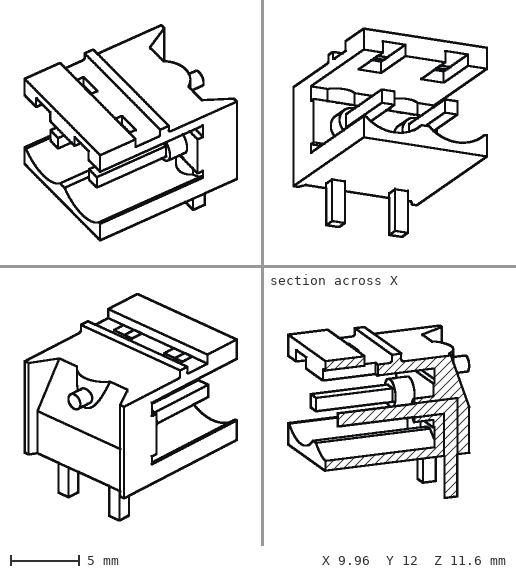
import cadquery as cq


WIDTH = 9.96
DEPTH = 12.0
FLOOR_TOP = 1.65
ROOF_BOTTOM = 6.78
ROOF_TOP = 7.65
LIP_TOP = 8.41
LIP_DEPTH = 3.12
WALL_FRONT = 8.55

RIB_FRONT = 5.27
RIB_WIDTH = 0.75
RIB_TOP = 8.27
RIB_FILLET = 0.19

POLE_PITCH = 5.09
PIN_SIZE = 1.03
PIN_TIP = 0.98
PIN_AXIS_Z = 3.78
TAIL_AXIS_Y = 9.95
TAIL_LENGTH = 3.22

COLLAR_DIAMETER = 2.11
COLLAR_LENGTH = 1.5

SCOOP_RADIUS = 3.26
SCOOP_DEPTH = 0.9

RECESS_DEPTH = 0.48
UPPER_RECESS_BOTTOM = 5.66
LOWER_RECESS_TOP = 2.3
COLUMN_RADIUS = 1.45

CHANNEL_WIDTH = 1.82
CHANNEL_LENGTH = 4.15
CHANNEL_PITCH = 5.05

NOTCH_FLOOR_Y = 9.96
NOTCH_FOOT_Y = 11.41
NOTCH_RAMP_DROP = 4.13
NOTCH_FLOOR_WIDTH = 6.85
NOTCH_MOUTH_WIDTH = 9.17
BULGE_RADIUS = 2.0
BULGE_BACK = 10.82
POST_DIAMETER = 1.2
POST_AXIS_Z = 6.18

pole_positions = [-POLE_PITCH / 2, POLE_PITCH / 2]
channel_positions = [-CHANNEL_PITCH / 2, CHANNEL_PITCH / 2]
recess_back = WALL_FRONT + RECESS_DEPTH
column_axis_y = WALL_FRONT + COLUMN_RADIUS


def box(x_range, y_range, z_range):
    """Box between the given limits."""
    size = [high - low for low, high in (x_range, y_range, z_range)]
    corner = (x_range[0], y_range[0], z_range[0])
    return cq.Workplane("XY").box(*size, centered=False).translate(corner)


def upright_cylinder(x, y, radius, z_range):
    """Cylinder along Z between two heights."""
    base = cq.Workplane("XY").workplane(offset=z_range[0]).center(x, y)
    return base.circle(radius).extrude(z_range[1] - z_range[0])


def cylinder_along_y(x, z, radius, y_range):
    """Cylinder along Y between two depths."""
    base = cq.Workplane("XZ", origin=(x, y_range[0], z))
    return base.circle(radius).extrude(y_range[0] - y_range[1])


def across_width(y_range, z_range):
    """Box over the full width of the housing."""
    return box((-WIDTH / 2, WIDTH / 2), y_range, z_range)


def shell():
    """C-shaped side outline, with lip and rib, extruded over the width."""
    rib_back = RIB_FRONT + RIB_WIDTH
    fillet_top = ROOF_TOP + RIB_FILLET
    return (
        cq.Workplane("YZ")
        .workplane(offset=-WIDTH / 2)
        .moveTo(0, 0)
        .lineTo(DEPTH, 0)
        .lineTo(DEPTH, ROOF_TOP)
        .lineTo(rib_back + RIB_FILLET, ROOF_TOP)
        .radiusArc((rib_back, fillet_top), RIB_FILLET)
        .lineTo(rib_back, RIB_TOP)
        .lineTo(RIB_FRONT, RIB_TOP)
        .lineTo(RIB_FRONT, fillet_top)
        .radiusArc((RIB_FRONT - RIB_FILLET, ROOF_TOP), RIB_FILLET)
        .lineTo(LIP_DEPTH, ROOF_TOP)
        .lineTo(LIP_DEPTH, LIP_TOP)
        .lineTo(0, LIP_TOP)
        .lineTo(0, ROOF_BOTTOM)
        .lineTo(WALL_FRONT, ROOF_BOTTOM)
        .lineTo(WALL_FRONT, FLOOR_TOP)
        .lineTo(0, FLOOR_TOP)
        .close()
        .extrude(WIDTH)
    )


def scoop(x):
    """Shallow trough in the lower shelf, from the mouth to the back of the recess."""
    axis_z = FLOOR_TOP - SCOOP_DEPTH + SCOOP_RADIUS
    trough = cylinder_along_y(x, axis_z, SCOOP_RADIUS, (0, recess_back))
    return trough.intersect(across_width((0, recess_back), (0, FLOOR_TOP)))


def scoops_and_recesses():
    """Scoops and rear wall recesses as one cutter that leaves the columns standing."""
    y_range = (WALL_FRONT, recess_back)
    scoop_bottom = FLOOR_TOP - SCOOP_DEPTH
    cutter = across_width(y_range, (UPPER_RECESS_BOTTOM, ROOF_BOTTOM))
    cutter = cutter.union(across_width(y_range, (FLOOR_TOP, LOWER_RECESS_TOP)))
    for x in pole_positions:
        cutter = cutter.union(scoop(x))
    for x in pole_positions:
        column = upright_cylinder(x, column_axis_y, COLUMN_RADIUS, (scoop_bottom, ROOF_BOTTOM))
        cutter = cutter.cut(column)
    return cutter


def channel(x):
    """Groove under the upper shelf that opens through the roof behind the lip."""
    x_range = (x - CHANNEL_WIDTH / 2, x + CHANNEL_WIDTH / 2)
    return box(x_range, (0, CHANNEL_LENGTH), (ROOF_BOTTOM, ROOF_TOP))


def back_notch():
    """Flared notch in the back with a ramped floor, clear of the bulge."""
    flare = (
        cq.Workplane("XY")
        .polyline([
            (-NOTCH_FLOOR_WIDTH / 2, NOTCH_FLOOR_Y),
            (NOTCH_FLOOR_WIDTH / 2, NOTCH_FLOOR_Y),
            (NOTCH_MOUTH_WIDTH / 2, DEPTH),
            (-NOTCH_MOUTH_WIDTH / 2, DEPTH),
        ])
        .close()
        .extrude(ROOF_TOP)
    )
    ramp_side = (
        cq.Workplane("YZ")
        .workplane(offset=-WIDTH / 2)
        .polyline([
            (NOTCH_FLOOR_Y, ROOF_TOP),
            (NOTCH_FOOT_Y, ROOF_TOP - NOTCH_RAMP_DROP),
            (NOTCH_FOOT_Y, 0),
            (DEPTH, 0),
            (DEPTH, ROOF_TOP),
        ])
        .close()
        .extrude(WIDTH)
    )
    bulge = upright_cylinder(0, BULGE_BACK - BULGE_RADIUS, BULGE_RADIUS, (0, ROOF_TOP))
    return flare.intersect(ramp_side).cut(bulge)


def make_pin(x):
    """L-shaped pin: a contact along Y and a solder tail along Z."""
    half = PIN_SIZE / 2
    x_range = (x - half, x + half)
    contact_z = (PIN_AXIS_Z - half, PIN_AXIS_Z + half)
    contact = box(x_range, (PIN_TIP, TAIL_AXIS_Y + half), contact_z)
    tail = box(x_range, (TAIL_AXIS_Y - half, TAIL_AXIS_Y + half), (-TAIL_LENGTH, contact_z[1]))
    return contact.union(tail)


def make_housing(pins):
    """Housing with a matching hole for each pin."""
    housing = shell().cut(scoops_and_recesses()).cut(back_notch())
    for x in channel_positions:
        housing = housing.cut(channel(x))
    for x in pole_positions:
        collar_range = (WALL_FRONT - COLLAR_LENGTH, WALL_FRONT)
        housing = housing.union(cylinder_along_y(x, PIN_AXIS_Z, COLLAR_DIAMETER / 2, collar_range))
    post_range = (NOTCH_FLOOR_Y, DEPTH)
    housing = housing.union(cylinder_along_y(0, POST_AXIS_Z, POST_DIAMETER / 2, post_range))
    for pin in pins:
        housing = housing.cut(pin)
    return housing


pins = [make_pin(x) for x in pole_positions]
housing = make_housing(pins)

result = cq.Compound.makeCompound([housing.solids().val(), *[pin.solids().val() for pin in pins]])